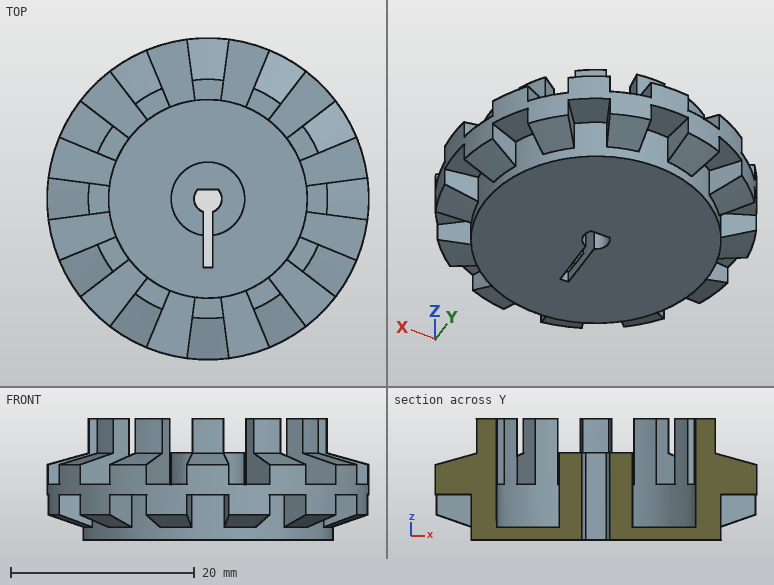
import cadquery as cq

outer_radius = 35.0 / 2
inner_radius = 21.6 / 2
tooth_count = 12
tooth_pitch = 360 / tooth_count
gap_angle = tooth_pitch / 2

base_radius = 27.2 / 2
base_top = 1.4
floor_top = base_top

lower_tooth_shoulder = 2.75
web_bottom = 4.95
web_top = 6.05
upper_tooth_shoulder = 8.2
finger_bottom = 9.45
overall_height = 13.2
finger_outer_radius = 13.0

hub_radius = 4.0
hub_top = 9.5
bore_radius = 1.5
bore_flat_offset = 1.0
slot_width = 1.0
slot_end_distance = 7.45

clearance = 1.0


def revolve_profile(profile, angle):
    """Revolve a closed (radius, height) outline about Z."""
    return cq.Workplane("XZ").polyline(profile).close().revolve(angle, (0, 0), (0, 1))


def make_rim():
    """Unbroken ring with the sloped outline of both rows of teeth."""
    root_radius = inner_radius - clearance
    buried_radius = base_radius - clearance
    slope = (lower_tooth_shoulder - base_top) / (outer_radius - base_radius)
    buried_height = base_top - slope * clearance
    profile = [
        (root_radius, buried_height),
        (buried_radius, buried_height),
        (outer_radius, lower_tooth_shoulder),
        (outer_radius, upper_tooth_shoulder),
        (finger_outer_radius, finger_bottom),
        (finger_outer_radius, overall_height),
        (root_radius, overall_height),
    ]
    return revolve_profile(profile, 360)


def make_gap(inner, bottom, top, center_angle):
    """Cutter with radial sides that opens one gap between neighbouring teeth."""
    outer = outer_radius + clearance
    profile = [(inner, bottom), (outer, bottom), (outer, top), (inner, top)]
    sector = revolve_profile(profile, gap_angle)
    return sector.rotate((0, 0, 0), (0, 0, 1), center_angle - gap_angle / 2)


def cut_teeth(rim):
    """Cut both rows of gaps; the lower row is half a pitch from the upper row."""
    lower_gap_inner = base_radius - clearance / 2
    upper_gap_inner = inner_radius - 2 * clearance
    upper_gap_top = overall_height + clearance
    for index in range(tooth_count):
        lower_angle = index * tooth_pitch
        upper_angle = lower_angle + tooth_pitch / 2
        rim = rim.cut(make_gap(lower_gap_inner, 0, web_bottom, lower_angle))
        rim = rim.cut(make_gap(upper_gap_inner, web_top, upper_gap_top, upper_angle))
    return rim


def make_cup():
    """Toothed rim on a round base, hollowed down to the floor."""
    base = cq.Workplane("XY").circle(base_radius).extrude(web_bottom)
    cavity = (
        cq.Workplane("XY")
        .workplane(offset=floor_top)
        .circle(inner_radius)
        .extrude(overall_height)
    )
    return cut_teeth(make_rim()).union(base).cut(cavity)


def make_shaft_opening():
    """D-shaped bore, flat on its +Y side, with a radial slot toward -Y."""
    height = hub_top + clearance
    side = 2 * bore_radius
    below_flat = cq.Workplane("XY").center(0, bore_flat_offset - side / 2).rect(side, side).extrude(height)
    bore = cq.Workplane("XY").circle(bore_radius).extrude(height).intersect(below_flat)
    slot_outline = cq.Workplane("XY").center(0, -slot_end_distance / 2).rect(slot_width, slot_end_distance)
    return bore.union(slot_outline.extrude(height))


hub = cq.Workplane("XY").circle(hub_radius).extrude(hub_top)
result = make_cup().union(hub).cut(make_shaft_opening())